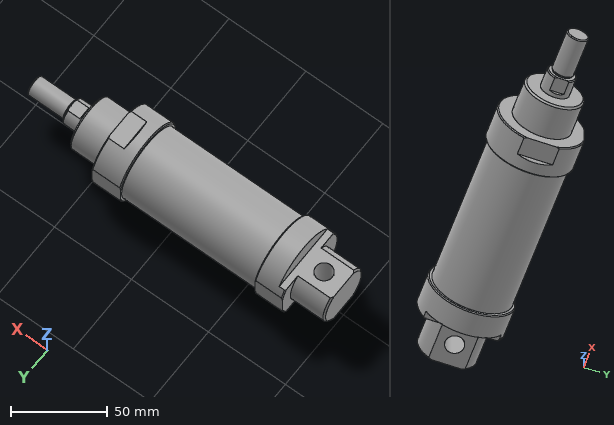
import cadquery as cq


OVERALL_LENGTH = 201.0
CLEVIS_LENGTH = 22.1
REAR_SLOT_END = 26.1
REAR_CAP_END = 40.0
FRONT_CAP_START = 127.2
FRONT_CAP_END = 146.0
NECK_END = 165.6
COLLAR_END = 176.7
STUD_START = 177.7

CAP_RADIUS = 24.5
CAP_CHAMFER = 0.6
CAP_SIDE_FLAT = 23.3
NECK_RADIUS = 16.5
NECK_CHAMFER = 1.0

CLEVIS_HALF_THICKNESS = 13.0
PIVOT_HOLE_DIAMETER = 10.5
PIVOT_HOLE_X = 12.7

CAP_FLAT_START = 135.3
CAP_FLAT_HALF_HEIGHT = 22.5
CAP_FLAT_RUNOUT = 1.0

BARREL_RADIUS = 22.5

COLLAR_RADIUS = 8.0
COLLAR_CHAMFER = 0.6
ROD_FLAT_START = 168.5
ROD_FLAT_HALF_HEIGHT = 7.0
ROD_FLAT_RUNOUT = 0.6
RELIEF_RADIUS = 5.5
STUD_RADIUS = 6.0
STUD_CHAMFER = 0.6


def cylinder(start, end, radius):
    """Solid cylinder along X between two stations."""
    return cq.Workplane("YZ").workplane(offset=start).circle(radius).extrude(end - start)


def cap_disc(start, end):
    """Chamfered cap flange with its flat on the +Y side."""
    disc = cylinder(start, end, CAP_RADIUS).faces("<X or >X").chamfer(CAP_CHAMFER)
    side_depth = CAP_RADIUS - CAP_SIDE_FLAT
    side_cut = cq.Workplane("XY").box(
        end - start, side_depth, 2 * CAP_RADIUS, centered=(False, False, True)
    )
    return disc.cut(side_cut.translate((start, CAP_SIDE_FLAT, 0)))


def cut_flats(body, start, end, half_height, radius, runout):
    """Cut two flats, above and below the axis, each with a start wall leaning by runout."""
    upper_cut = (
        cq.Workplane("XZ")
        .polyline([
            (start, half_height),
            (end, half_height),
            (end, radius),
            (start - runout, radius),
        ])
        .close()
        .extrude(radius, both=True)
    )
    return body.cut(upper_cut).cut(upper_cut.mirror("XY"))


def make_rear_cap():
    """Rear cap with a two-flat clevis stem and a vertical pivot hole."""
    stem = cylinder(0, CLEVIS_LENGTH, NECK_RADIUS).faces("<X").chamfer(NECK_CHAMFER)
    cap = stem.union(cap_disc(CLEVIS_LENGTH, REAR_CAP_END))
    cap = cut_flats(cap, REAR_SLOT_END, 0, CLEVIS_HALF_THICKNESS, CAP_RADIUS, 0)
    pivot_hole = (
        cq.Workplane("XY")
        .center(PIVOT_HOLE_X, 0)
        .circle(PIVOT_HOLE_DIAMETER / 2)
        .extrude(CLEVIS_HALF_THICKNESS, both=True)
    )
    return cap.cut(pivot_hole)


def make_barrel():
    """Plain barrel between the two caps."""
    return cylinder(REAR_CAP_END, FRONT_CAP_START, BARREL_RADIUS)


def make_front_cap():
    """Front cap with wrench flats and a chamfered neck."""
    disc = cut_flats(
        cap_disc(FRONT_CAP_START, FRONT_CAP_END),
        CAP_FLAT_START, FRONT_CAP_END, CAP_FLAT_HALF_HEIGHT, CAP_RADIUS, CAP_FLAT_RUNOUT,
    )
    neck = cylinder(FRONT_CAP_END, NECK_END, NECK_RADIUS).faces(">X").chamfer(NECK_CHAMFER)
    return disc.union(neck)


def make_rod():
    """Rod collar with wrench flats, a relief groove and the end stud."""
    collar = cylinder(NECK_END, COLLAR_END, COLLAR_RADIUS).faces(">X").chamfer(COLLAR_CHAMFER)
    collar = cut_flats(
        collar, ROD_FLAT_START, COLLAR_END, ROD_FLAT_HALF_HEIGHT, COLLAR_RADIUS, ROD_FLAT_RUNOUT
    )
    relief = cylinder(COLLAR_END, STUD_START, RELIEF_RADIUS)
    stud = cylinder(STUD_START, OVERALL_LENGTH, STUD_RADIUS).faces(">X").chamfer(STUD_CHAMFER)
    return collar.union(relief).union(stud)


rear_cap = make_rear_cap()
barrel = make_barrel()
front_cap = make_front_cap()
rod = make_rod()

result = cq.Compound.makeCompound([rear_cap.val(), barrel.val(), front_cap.val(), rod.val()])